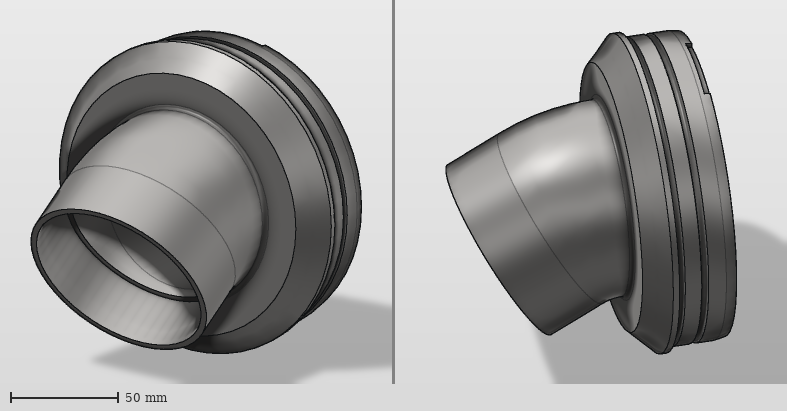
import cadquery as cq
import math

FLANGE_RADIUS = 75.7
BODY_RADIUS = 73.1
BACK_RADIUS = 72.2
FRONT_RADIUS = 63.7
BACK_TAPER_DEPTH = 5.1
RIM_START = 28.2
RIM_WIDTH = 3.0
FLANGE_DEPTH = 43.2

GROOVE_FLOOR_RADIUS = 70.4
GROOVE_WIDTH = 3.3
GROOVE_STARTS = (13.6, RIM_START - GROOVE_WIDTH)

NOTCH_ANGLE = 30.0
NOTCH_DEPTH = 2.9

PIPE_RADIUS = 93.0 / 2
BORE_RADIUS = 81.0 / 2
SOCKET_RADIUS = 87.0 / 2
NECK_FILLET = 2.1
BEND_RADIUS = 53.5
BEND_ANGLE = 30.0
SPIGOT_LENGTH = 28.5

BEND_START = FLANGE_DEPTH + NECK_FILLET


def flange():
    """Turned disc with a tapered back edge, a bevelled rim and a filleted neck."""
    neck_top = PIPE_RADIUS + NECK_FILLET
    middle = NECK_FILLET * (1 - math.sqrt(0.5))
    profile = (
        cq.Workplane("XY")
        .lineTo(BACK_RADIUS, 0)
        .lineTo(BODY_RADIUS, -BACK_TAPER_DEPTH)
        .lineTo(BODY_RADIUS, -RIM_START)
        .lineTo(FLANGE_RADIUS, -RIM_START)
        .lineTo(FLANGE_RADIUS, -RIM_START - RIM_WIDTH)
        .lineTo(FRONT_RADIUS, -FLANGE_DEPTH)
        .lineTo(neck_top, -FLANGE_DEPTH)
        .threePointArc((PIPE_RADIUS + middle, -FLANGE_DEPTH - middle), (PIPE_RADIUS, -BEND_START))
        .lineTo(0, -BEND_START)
        .close()
    )
    return profile.revolve(360, (0, 0, 0), (0, 1, 0))


def groove(start):
    """Cutter for a ring groove with a full round floor."""
    end = start + GROOVE_WIDTH
    side_radius = GROOVE_FLOOR_RADIUS + GROOVE_WIDTH / 2
    profile = (
        cq.Workplane("XY")
        .moveTo(FLANGE_RADIUS, -start)
        .lineTo(side_radius, -start)
        .threePointArc((GROOVE_FLOOR_RADIUS, -(start + end) / 2), (side_radius, -end))
        .lineTo(FLANGE_RADIUS, -end)
        .close()
    )
    return profile.revolve(360, (0, 0, 0), (0, 1, 0))


def notch():
    """Cutter for the notch: a ring sector with radial end walls, centred on +Z."""
    profile = cq.Workplane("XY").moveTo(GROOVE_FLOOR_RADIUS, -NOTCH_DEPTH)
    profile = profile.lineTo(FLANGE_RADIUS, -NOTCH_DEPTH)
    profile = profile.lineTo(FLANGE_RADIUS, 0).lineTo(GROOVE_FLOOR_RADIUS, 0).close()
    sector = profile.revolve(NOTCH_ANGLE, (0, 0, 0), (0, 1, 0))
    return sector.rotate((0, 0, 0), (0, 1, 0), -90 - NOTCH_ANGLE / 2)


def bend(radius):
    """Solid elbow turning from -Y down toward -Z."""
    section = cq.Workplane("XZ", origin=(0, -BEND_START, 0)).circle(radius)
    return section.revolve(BEND_ANGLE, (0, -BEND_RADIUS, 0), (1, -BEND_RADIUS, 0))


def spigot(radius):
    """Solid straight length continuing from the end of the bend."""
    angle = math.radians(BEND_ANGLE)
    bend_end = (
        0,
        -BEND_START - BEND_RADIUS * math.sin(angle),
        -BEND_RADIUS * (1 - math.cos(angle)),
    )
    axis = (0, -math.cos(angle), -math.sin(angle))
    plane = cq.Plane(origin=bend_end, xDir=(1, 0, 0), normal=axis)
    return cq.Workplane(plane).circle(radius).extrude(SPIGOT_LENGTH)


body = flange()
for groove_start in GROOVE_STARTS:
    body = body.cut(groove(groove_start))
body = body.cut(notch())

body = body.union(bend(PIPE_RADIUS)).union(spigot(PIPE_RADIUS))

straight_bore = cq.Workplane("XZ").circle(BORE_RADIUS).extrude(BEND_START)
result = body.cut(straight_bore).cut(bend(BORE_RADIUS)).cut(spigot(SOCKET_RADIUS))